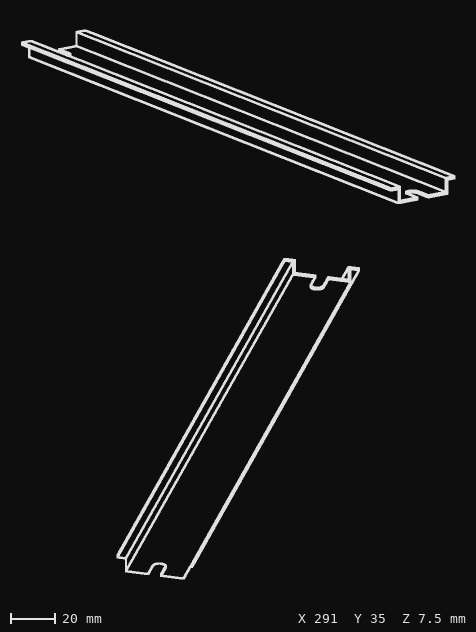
import cadquery as cq

length = 291.0
overall_width = 35.0
height = 7.5
sheet = 1.0
channel_width = 27.0
slot_width = 6.0
slot_depth = 11.0


def box_on(width, tall, bottom):
    """Full-length bar centred on Y, with its underside at the given Z."""
    return (
        cq.Workplane("XY")
        .box(length, width, tall, centered=(True, True, False))
        .translate((0, 0, bottom))
    )


def rail_body():
    """Channel with a flat lip folded outward along each upper edge."""
    channel = box_on(channel_width, height, 0)
    lips = box_on(overall_width, sheet, height - sheet)
    hollow = box_on(channel_width - 2 * sheet, height, sheet)
    return channel.union(lips).cut(hollow)


def end_slot(side):
    """Open-ended mounting slot; side is -1 or +1 along X."""
    return (
        cq.Workplane("XY")
        .center(side * length / 2, 0)
        .slot2D(2 * slot_depth, slot_width)
        .extrude(sheet)
    )


result = rail_body()
for side in (-1, 1):
    result = result.cut(end_slot(side))